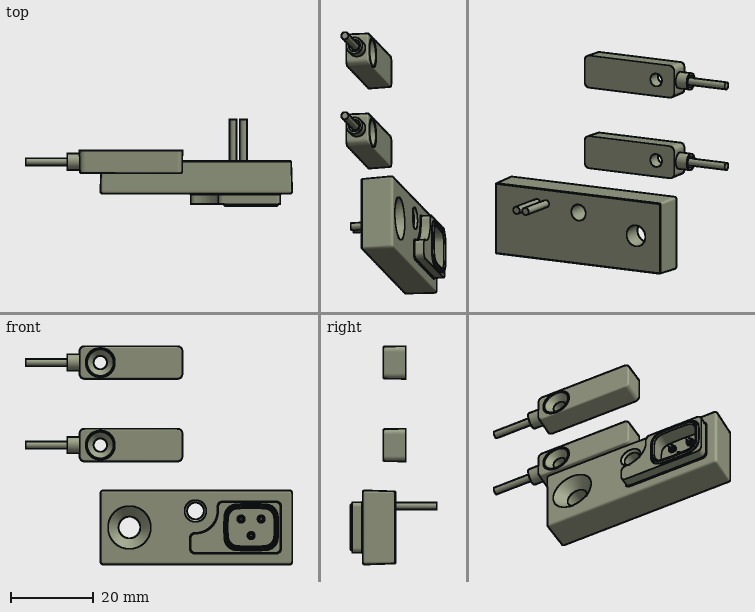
import cadquery as cq

HOUSING_LENGTH = 46.5
HOUSING_HEIGHT = 18.0
HOUSING_DEPTH = 8.0
HOUSING_CORNER_RADIUS = 0.7
HOUSING_FRONT_FILLET = 0.6
HOUSING_RIM_DEPTH = 1.0
HOUSING_DRAFT = 2.0
HOUSING_BACK_CHAMFER = 0.2
MIDDLE_X = HOUSING_LENGTH / 2
MIDDLE_Z = HOUSING_HEIGHT / 2

MOUNT_HOLE_X = 7.05
MOUNT_HOLE_DIAMETER = 5.2
MOUNT_SINK_DIAMETER = 10.4

SMALL_HOLE_X = 23.05
SMALL_HOLE_Z = 13.0
SMALL_HOLE_DIAMETER = 4.0
SMALL_SINK_DIAMETER = 5.3

PLATE_LEFT = 21.85
PLATE_RIGHT = 43.65
PLATE_BOTTOM = 2.85
PLATE_TOP = 15.15
PLATE_DEPTH = 2.5
PLATE_CORNER_RADIUS = 1.15
PLATE_EDGE_CHAMFER = 0.2
PLATE_FOOT = 0.2
PLATE_FOOT_SLOPE = 45
CLEARANCE_RADIUS = 5.5
STEP_X = SMALL_HOLE_X + CLEARANCE_RADIUS
SHELF_Z = SMALL_HOLE_Z - CLEARANCE_RADIUS

SOCKET_X = 36.53
SOCKET_Z = 9.05
LIP_LENGTH = 13.2
LIP_HEIGHT = 11.4
LIP_DEPTH = 0.5
LIP_CHAMFER = 0.35
LIP_CORNER_RADIUS = 3.2
SIDE_BOW = 0.35
POCKET_LENGTH = 11.3
POCKET_HEIGHT = 9.3
POCKET_DEPTH = 4.0
POCKET_CORNER_RADIUS = 2.2
POCKET_FLOOR_Y = POCKET_DEPTH - PLATE_DEPTH - LIP_DEPTH

PIN_STEPS = [(0.9, 0.5), (0.65, 0.5), (0.4, 0.6)]
PIN_SPACING_X = 4.88
PIN_ROW_OFFSET = 2.0
PIN_PLACES = [
    (SOCKET_X - PIN_SPACING_X / 2, SOCKET_Z + PIN_ROW_OFFSET),
    (SOCKET_X + PIN_SPACING_X / 2, SOCKET_Z + PIN_ROW_OFFSET),
    (SOCKET_X, SOCKET_Z - PIN_ROW_OFFSET),
]

CABLE_DIAMETER = 1.8
CABLE_LENGTH = 10.0
HOUSING_CABLES_X = [32.15, 34.65]
HOUSING_CABLE_Z = 14.2

HEAD_LENGTH = 25.0
HEAD_HEIGHT = 8.0
HEAD_DEPTH = 5.5
HEAD_CORNER_RADIUS = 1.3
HEAD_FRONT_FILLET = 0.4
HEAD_DRAFT = 1.0
HEAD_LEFT = -5.07
HEAD_SETBACK = 2.5
HEAD_BACK_Y = HOUSING_DEPTH + HEAD_SETBACK
HEAD_AXIS_Y = HEAD_BACK_Y - HEAD_DEPTH / 2
HEAD_PITCH = 20.0
LOWER_HEAD_Z = 28.95
HEAD_CENTRES_Z = [LOWER_HEAD_Z, LOWER_HEAD_Z + HEAD_PITCH]

HEAD_HOLE_OFFSET = 5.07
HEAD_HOLE_DIAMETER = 3.2
HEAD_SINK_DIAMETER = 6.4
HEAD_RECESS_DIAMETER = 7.1
HEAD_RECESS_DEPTH = 0.1

GLAND_DIAMETER = 4.05
GLAND_LENGTH = 3.0
GLAND_OVERLAP = 0.5
FUNNEL_DIAMETER = 2.9
FUNNEL_DEPTH = 1.0


def front_plane(y):
    """XZ plane at the given Y, its normal pointing forwards (-Y)."""
    return cq.Workplane("XZ", origin=(0, y, 0))


def back_plane(y):
    """Plane at the given Y, its normal pointing backwards (+Y); local x is X, local y is -Z."""
    return cq.Workplane(cq.Plane(origin=(0, y, 0), xDir=(1, 0, 0), normal=(0, 1, 0)))


def turned(x, z, profile):
    """Solid of revolution about the Y axis line through (x, z), from (radius, y) points."""
    outline = cq.Workplane("XY").polyline(profile).close()
    return outline.revolve(360, (0, 0, 0), (0, 1, 0)).translate((x, 0, z))


def countersunk_hole(x, z, diameter, sink_diameter, front_y, back_y):
    """Cutter for a through hole with a 90 degree countersink at its front."""
    radius = diameter / 2
    sink_radius = sink_diameter / 2
    sink_end_y = front_y + sink_radius - radius
    profile = [(0, front_y), (sink_radius, front_y), (radius, sink_end_y), (radius, back_y), (0, back_y)]
    return turned(x, z, profile)


def bowed_block(length, height, corner_radius, back_y, depth):
    """Socket-shaped block reaching forwards from back_y, its four sides arched outwards."""
    half_x = length / 2
    half_z = height / 2
    corner_x = half_x - SIDE_BOW
    corner_z = half_z - SIDE_BOW
    return (
        front_plane(back_y)
        .center(SOCKET_X, SOCKET_Z)
        .moveTo(-corner_x, -corner_z)
        .threePointArc((0, -half_z), (corner_x, -corner_z))
        .threePointArc((half_x, 0), (corner_x, corner_z))
        .threePointArc((0, half_z), (-corner_x, corner_z))
        .threePointArc((-half_x, 0), (-corner_x, -corner_z))
        .close()
        .extrude(depth)
        .edges("|Y")
        .fillet(corner_radius)
    )


def housing_block():
    rim = (
        front_plane(HOUSING_RIM_DEPTH)
        .center(MIDDLE_X, MIDDLE_Z)
        .rect(HOUSING_LENGTH, HOUSING_HEIGHT)
        .extrude(HOUSING_RIM_DEPTH)
        .edges("|Y")
        .fillet(HOUSING_CORNER_RADIUS)
        .faces("<Y")
        .edges()
        .fillet(HOUSING_FRONT_FILLET)
    )
    outline = cq.Sketch().rect(HOUSING_LENGTH, HOUSING_HEIGHT).vertices().fillet(HOUSING_CORNER_RADIUS)
    drafted = (
        back_plane(HOUSING_RIM_DEPTH)
        .center(MIDDLE_X, -MIDDLE_Z)
        .placeSketch(outline)
        .extrude(HOUSING_DEPTH - HOUSING_RIM_DEPTH, taper=HOUSING_DRAFT)
        .faces(">Y")
        .edges()
        .chamfer(HOUSING_BACK_CHAMFER)
    )
    return rim.union(drafted)


def connector_plate():
    concave_corner = (STEP_X, -PLATE_DEPTH / 2, SHELF_Z)
    plate = (
        front_plane(0)
        .moveTo(PLATE_LEFT, PLATE_BOTTOM)
        .lineTo(PLATE_RIGHT, PLATE_BOTTOM)
        .lineTo(PLATE_RIGHT, PLATE_TOP)
        .lineTo(STEP_X, PLATE_TOP)
        .lineTo(STEP_X, SHELF_Z)
        .lineTo(PLATE_LEFT, SHELF_Z)
        .close()
        .extrude(PLATE_DEPTH)
        .edges("(>X or <X or >Z) and |Y")
        .fillet(PLATE_CORNER_RADIUS)
        .edges(cq.selectors.NearestToPointSelector(concave_corner))
        .fillet(CLEARANCE_RADIUS)
    )
    foot_outline = plate.faces(">Y").wires().toPending().offset2D(PLATE_FOOT)
    foot = foot_outline.extrude(PLATE_FOOT, taper=PLATE_FOOT_SLOPE)
    return plate.faces("<Y").edges().chamfer(PLATE_EDGE_CHAMFER).union(foot)


def contact_pin(x, z):
    profile = [(0, POCKET_FLOOR_Y)]
    y = POCKET_FLOOR_Y
    for radius, length in PIN_STEPS:
        profile += [(radius, y), (radius, y - length)]
        y -= length
    profile.append((0, y))
    tip_radius = PIN_STEPS[-1][0]
    dome = cq.Workplane(origin=(x, y, z)).sphere(tip_radius)
    return turned(x, z, profile).union(dome)


def socket_pocket():
    return bowed_block(POCKET_LENGTH, POCKET_HEIGHT, POCKET_CORNER_RADIUS, POCKET_FLOOR_Y, POCKET_DEPTH)


def socket_lip():
    block = bowed_block(LIP_LENGTH, LIP_HEIGHT, LIP_CORNER_RADIUS, -PLATE_DEPTH, LIP_DEPTH)
    return block.cut(socket_pocket()).faces("<Y").edges().chamfer(LIP_CHAMFER)


def make_housing():
    body = housing_block().union(connector_plate()).cut(socket_pocket()).union(socket_lip())
    for x, z in PIN_PLACES:
        body = body.union(contact_pin(x, z))
    body = body.cut(countersunk_hole(
        MOUNT_HOLE_X, MIDDLE_Z, MOUNT_HOLE_DIAMETER, MOUNT_SINK_DIAMETER, 0, HOUSING_DEPTH))
    body = body.cut(countersunk_hole(
        SMALL_HOLE_X, SMALL_HOLE_Z, SMALL_HOLE_DIAMETER, SMALL_SINK_DIAMETER, 0, HOUSING_DEPTH))
    for x in HOUSING_CABLES_X:
        cable = back_plane(HOUSING_DEPTH).center(x, -HOUSING_CABLE_Z).circle(CABLE_DIAMETER / 2)
        body = body.union(cable.extrude(CABLE_LENGTH))
    return body


def gland_plane(centre_z):
    """Plane on the left end of a head, its normal pointing into the head (+X)."""
    return cq.Workplane("YZ", origin=(HEAD_LEFT, HEAD_AXIS_Y, centre_z))


def make_cable(centre_z):
    return gland_plane(centre_z).circle(CABLE_DIAMETER / 2).extrude(-GLAND_LENGTH - CABLE_LENGTH)


def make_head(centre_z):
    outline = cq.Sketch().rect(HEAD_LENGTH, HEAD_HEIGHT).vertices().fillet(HEAD_CORNER_RADIUS)
    front_y = HEAD_BACK_Y - HEAD_DEPTH
    hole_x = HEAD_LEFT + HEAD_HOLE_OFFSET
    head = (
        front_plane(HEAD_BACK_Y)
        .center(HEAD_LEFT + HEAD_LENGTH / 2, centre_z)
        .placeSketch(outline)
        .extrude(HEAD_DEPTH, taper=HEAD_DRAFT)
        .faces("<Y")
        .edges()
        .fillet(HEAD_FRONT_FILLET)
    )
    recess_floor_y = front_y + HEAD_RECESS_DEPTH
    recess = front_plane(recess_floor_y).center(hole_x, centre_z).circle(HEAD_RECESS_DIAMETER / 2)
    head = head.cut(recess.extrude(HEAD_RECESS_DEPTH))
    head = head.cut(countersunk_hole(
        hole_x, centre_z, HEAD_HOLE_DIAMETER, HEAD_SINK_DIAMETER, recess_floor_y, HEAD_BACK_Y))
    gland = gland_plane(centre_z).workplane(offset=GLAND_OVERLAP).circle(GLAND_DIAMETER / 2)
    head = head.union(gland.extrude(-GLAND_LENGTH - GLAND_OVERLAP))
    funnel = (
        gland_plane(centre_z)
        .workplane(offset=-GLAND_LENGTH)
        .circle(FUNNEL_DIAMETER / 2)
        .workplane(offset=FUNNEL_DEPTH)
        .circle(CABLE_DIAMETER / 2)
        .loft()
    )
    return head.cut(funnel).cut(make_cable(centre_z))


housing = make_housing()
heads = [make_head(z) for z in HEAD_CENTRES_Z]
cables = [make_cable(z) for z in HEAD_CENTRES_Z]

result = cq.Compound.makeCompound(
    [housing.val()] + [head.val() for head in heads] + [cable.val() for cable in cables]
)